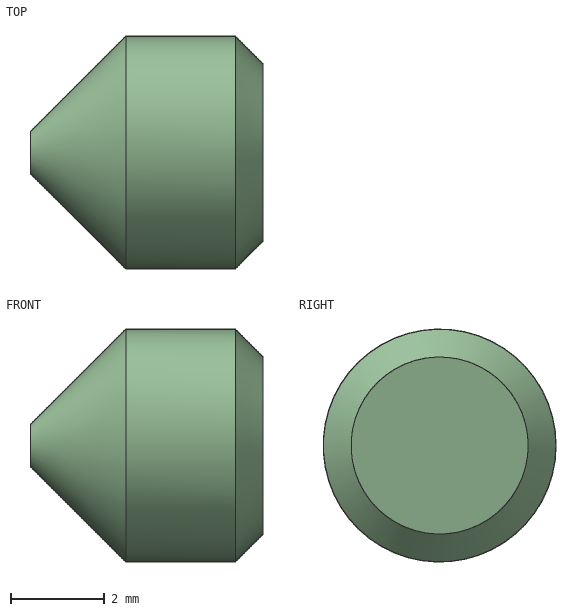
import cadquery as cq

body_diameter = 5.0
total_length = 5.0
tip_diameter = 0.9
rear_chamfer = 0.6

body_radius = body_diameter / 2
tip_radius = tip_diameter / 2
nose_length = body_radius - tip_radius

tip_x = 0.0
shoulder_x = tip_x + nose_length
rear_x = tip_x + total_length
chamfer_x = rear_x - rear_chamfer

half_profile = (
    cq.Workplane("XY")
    .moveTo(tip_x, 0)
    .lineTo(tip_x, tip_radius)
    .lineTo(shoulder_x, body_radius)
    .lineTo(chamfer_x, body_radius)
    .lineTo(rear_x, body_radius - rear_chamfer)
    .lineTo(rear_x, 0)
    .close()
)

result = half_profile.revolve(360, (0, 0, 0), (1, 0, 0))